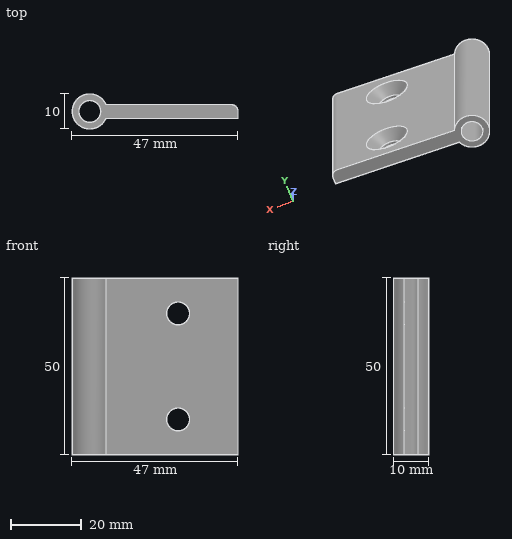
import cadquery as cq
import math

height = 50.0
width = 47.0
knuckle_diameter = 10.0
bore_diameter = 6.1

leaf_thickness = 4.0
edge_radius = 2.0

hole_diameter = 6.4
countersink_angle = 90.0
countersink_depth = 3.0
hole_from_pin = 25.0
hole_spacing = 30.0

leaf_end = width - knuckle_diameter / 2


def make_leaf():
    """Flat plate starting at the pin axis, rounded on its free back edge."""
    plate = cq.Workplane("XY").box(leaf_end, leaf_thickness, height, centered=(False, True, False))
    return plate.edges("|Z and >X and >Y").fillet(edge_radius)


def make_knuckle():
    """Round barrel around the pin axis."""
    return cq.Workplane("XY").circle(knuckle_diameter / 2).extrude(height)


def make_bore():
    """Pin bore through the full height of the knuckle."""
    return cq.Workplane("XY").circle(bore_diameter / 2).extrude(height)


def make_screw_hole(center_z):
    """Hole through the leaf, straight at the front and countersunk to the back face."""
    countersink_radius = hole_diameter / 2 + countersink_depth * math.tan(math.radians(countersink_angle / 2))
    front_y = -leaf_thickness / 2
    back_y = leaf_thickness / 2
    profile = (
        cq.Workplane("XY", origin=(hole_from_pin, 0, center_z))
        .moveTo(0, front_y)
        .lineTo(hole_diameter / 2, front_y)
        .lineTo(hole_diameter / 2, back_y - countersink_depth)
        .lineTo(countersink_radius, back_y)
        .lineTo(0, back_y)
        .close()
    )
    return profile.revolve(360, (0, 0), (0, 1))


result = make_leaf().union(make_knuckle()).cut(make_bore())
for side in (-1, 1):
    result = result.cut(make_screw_hole(height / 2 + side * hole_spacing / 2))